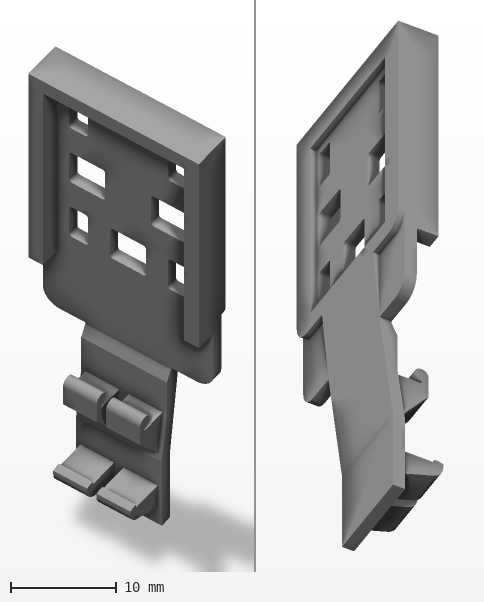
import cadquery as cq
import math


total_height = 54.5
plate_width = 19.9
plate_depth = 2.0
plate_bottom = 20.8
frame_depth = 4.35
frame_bottom = 28.8
rim_width = 1.7
corner_radius = 2.0

rear_layer_depth = 0.7
rear_layer_bottom = frame_bottom
rear_rim_width = 2.6
rear_rim_bottom_width = 2.0

window_height = 4.15
wide_window = 4.2
narrow_window = 2.2
window_row_pitch = 7.58
window_top_gap = 3.47
window_outer_x = 6.87
window_corner_radius = 0.35

tongue_width = 10.0
tongue_depth = 1.3
tongue_front = 3.47
tongue_bend_height = 8.95
tongue_shoulder_height = 14.85
tongue_shoulder_front = 2.65
tongue_chamfer_top = 20.6
tongue_chamfer_bottom = 19.28

hook_width = 3.95
hook_gap = 1.1

hook_root = 2.5

upper_hook_front = 6.3
upper_hook_base = 9.8
upper_hook_corner_height = 13.45
bead_radius = 0.77
bead_height = 15.9
neck_thickness = 0.75

lower_hook_front = 7.87
lower_hook_base = 2.4
lower_hook_top = 5.32
lip_back = 6.93
lip_top = 5.68
lip_chamfer_width = 0.58
lip_chamfer_height = 0.15
nose_radius = 1.6
nose_height = 5.08
underside_angle = math.radians(21)


def block(width, back, front, bottom, top):
    """Box centred on X, spanning the given forward and height ranges."""
    return cq.Workplane("XY").box(width, front - back, top - bottom).translate(
        (0, -(back + front) / 2, (bottom + top) / 2)
    )


def side_sketch(start_x):
    """Sketch plane facing +X whose local axes are Y and Z."""
    return cq.Workplane("YZ", origin=(start_x, 0, 0))


def outline(start_x, points):
    """Closed straight-sided side profile from (forward, height) points."""
    return side_sketch(start_x).polyline([(-forward, height) for forward, height in points]).close()


def make_plate():
    rear = block(plate_width, 0, rear_layer_depth, rear_layer_bottom, total_height)
    rear = rear.edges("|Y and <Z").fillet(corner_radius)
    pocket = block(
        plate_width - 2 * rear_rim_width,
        0,
        rear_layer_depth,
        rear_layer_bottom + rear_rim_bottom_width,
        total_height - rear_rim_width,
    )
    rear = rear.cut(pocket)
    middle = block(plate_width, rear_layer_depth, plate_depth, plate_bottom, total_height)
    middle = middle.edges("|Y and <Z").fillet(corner_radius)
    frame = block(plate_width, plate_depth, frame_depth, frame_bottom, total_height)
    opening = block(
        plate_width - 2 * rim_width, plate_depth, frame_depth, frame_bottom, total_height - rim_width
    )
    return rear.union(middle).union(frame.cut(opening))


def make_window(width, centre_x, row):
    top = total_height - window_top_gap - row * window_row_pitch
    window = block(width, 0, plate_depth, top - window_height, top)
    return window.edges("|Y").fillet(window_corner_radius).translate((centre_x, 0, 0))


def cut_windows(plate):
    narrow_x = window_outer_x - narrow_window / 2
    wide_x = window_outer_x - wide_window / 2
    for side in (-1, 1):
        plate = plate.cut(make_window(narrow_window, side * narrow_x, 0))
        plate = plate.cut(make_window(wide_window, side * wide_x, 1))
        plate = plate.cut(make_window(narrow_window, side * narrow_x, 2))
    return plate.cut(make_window(wide_window, 0, 2))


def make_tongue():
    tongue_back = tongue_front - tongue_depth
    points = [
        (0, rear_layer_bottom),
        (rear_layer_depth, plate_bottom),
        (tongue_back, tongue_bend_height),
        (tongue_back, 0),
        (tongue_front, 0),
        (tongue_front, tongue_bend_height),
        (tongue_shoulder_front, tongue_shoulder_height),
        (tongue_shoulder_front, tongue_chamfer_bottom),
        (plate_depth, tongue_chamfer_top),
        (plate_depth, rear_layer_bottom),
    ]
    return outline(-tongue_width / 2, points).extrude(tongue_width)


def tongue_face(height):
    """Forward position of the sloping front face of the tongue at a height."""
    slope = (tongue_front - tongue_shoulder_front) / (tongue_shoulder_height - tongue_bend_height)
    return tongue_front - slope * (height - tongue_bend_height)


def make_upper_hook(start_x):
    bead_centre = upper_hook_front - bead_radius
    bead_back = bead_centre - bead_radius
    neck_back = upper_hook_front - neck_thickness
    neck_offset = neck_back - bead_centre
    curl_end_height = bead_height - math.sqrt(bead_radius**2 - neck_offset**2)
    front_mid = bead_radius * math.sqrt(0.5)
    return (
        side_sketch(start_x)
        .moveTo(-hook_root, upper_hook_base)
        .lineTo(-tongue_face(upper_hook_base), upper_hook_base)
        .lineTo(-upper_hook_front, upper_hook_corner_height)
        .lineTo(-upper_hook_front, bead_height)
        .threePointArc(
            (-(bead_centre + front_mid), bead_height + front_mid),
            (-bead_centre, bead_height + bead_radius),
        )
        .threePointArc((-bead_back, bead_height), (-neck_back, curl_end_height))
        .lineTo(-neck_back, tongue_shoulder_height)
        .lineTo(-hook_root, tongue_shoulder_height)
        .close()
        .extrude(hook_width)
    )


def make_lower_hook(start_x):
    nose_centre = lower_hook_front - nose_radius

    def nose_point(angle):
        """Point on the nose arc; the angle is measured down from straight ahead."""
        return (
            -(nose_centre + nose_radius * math.cos(angle)),
            nose_height - nose_radius * math.sin(angle),
        )

    nose_end_angle = math.pi / 2 - underside_angle
    return (
        side_sketch(start_x)
        .moveTo(-hook_root, lower_hook_base)
        .lineTo(-hook_root, lower_hook_top)
        .lineTo(-lip_back, lower_hook_top)
        .lineTo(-lip_back, lip_top)
        .lineTo(-(lower_hook_front - lip_chamfer_width), lip_top)
        .lineTo(-lower_hook_front, lip_top - lip_chamfer_height)
        .lineTo(-lower_hook_front, nose_height)
        .threePointArc(nose_point(nose_end_angle / 2), nose_point(nose_end_angle))
        .lineTo(-tongue_front, lower_hook_base)
        .close()
        .extrude(hook_width)
    )


result = cut_windows(make_plate()).union(make_tongue())
for hook_start in (-hook_gap / 2 - hook_width, hook_gap / 2):
    result = result.union(make_upper_hook(hook_start))
    result = result.union(make_lower_hook(hook_start))